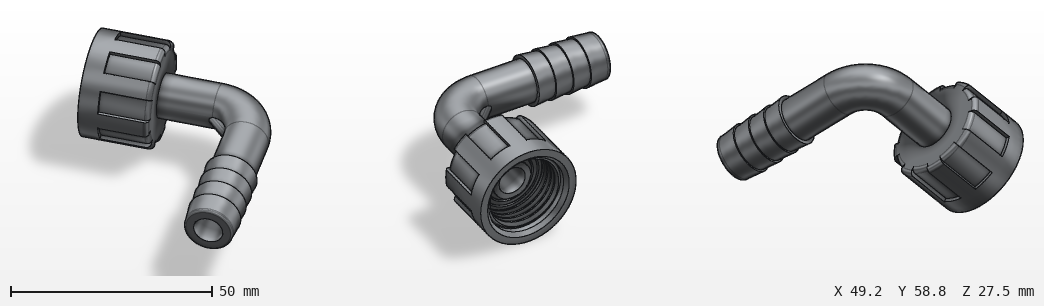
import cadquery as cq
import math

NUT_DIAMETER = 27.5
NUT_LENGTH = 18.1
NUT_REAR_FILLET = 1.2
NUT_REAR_WALL = 2.0

MOUTH_DIAMETER = 23.5
MOUTH_CONE_DEPTH = 1.1
RELIEF_DIAMETER = 21.5
RELIEF_DEPTH = 2.6

THREAD_PITCH = 1.814
THREAD_CREST_DIAMETER = 18.87
THREAD_ROOT_DIAMETER = 20.95
THREAD_CREST_WIDTH = 0.4
THREAD_ROOT_WIDTH = 0.25
THREAD_START = 2.03
THREAD_TURNS = 3.9
THREAD_START_ANGLE = -150.0
CUT_OVERLAP = 0.1

GRIP_COUNT = 8
GRIP_START = 5.1
GRIP_FLOOR_DIAMETER = 25.5
GRIP_ANGLE = 25.0

SEAT_DIAMETER = 18.5
SEAT_DEPTH = 9.3
GASKET_THICKNESS = 2.0
NOSE_PROUD = 1.3
NOSE_DIAMETER = 10.71
GASKET_GROOVE_INNER_DIAMETERS = (12.72, 15.84)
GASKET_GROOVE_WIDTH = 0.51
GASKET_GROOVE_DEPTH = 0.4

TUBE_DIAMETER = 11.5
TUBE_BORE = 7.5
BEND_RADIUS = 10.0
OVERALL_X = 49.24

TAIL_END_Y = -45.0
BARB_START_Y = -24.0
BARB_COUNT = 4
BARB_PITCH = 5.0
BARB_DIAMETER = 13.5
TIP_DIAMETER = 12.5
TIP_FILLET = 0.5

WEB_THICKNESS = 2.2
WEB_EDGE_FILLET = 1.0
WEB_EDGE_OFFSET = 2.4

FLANGE_FACE = SEAT_DEPTH + GASKET_THICKNESS
NOSE_FACE = SEAT_DEPTH - NOSE_PROUD
NUT_FLOOR = NUT_LENGTH - NUT_REAR_WALL
LEG_X = OVERALL_X - BARB_DIAMETER / 2
BEND_START_X = LEG_X - BEND_RADIUS


def cylinder_x(diameter, start, end):
    """Solid cylinder on the X axis between two X positions."""
    return cq.Workplane("YZ", origin=(start, 0, 0)).circle(diameter / 2).extrude(end - start)


def nut_body():
    """Turned nut: conical mouth, relief, threaded bore, gasket seat and rear hole."""
    outside = NUT_DIAMETER / 2
    thread = THREAD_CREST_DIAMETER / 2
    relief = RELIEF_DIAMETER / 2
    seat = SEAT_DIAMETER / 2
    hole = TUBE_DIAMETER / 2
    profile = (
        cq.Workplane("XY")
        .moveTo(0, MOUTH_DIAMETER / 2)
        .lineTo(0, outside)
        .lineTo(NUT_LENGTH - NUT_REAR_FILLET, outside)
        .radiusArc((NUT_LENGTH, outside - NUT_REAR_FILLET), NUT_REAR_FILLET)
        .lineTo(NUT_LENGTH, hole)
        .lineTo(NUT_FLOOR, hole)
        .lineTo(NUT_FLOOR, seat)
        .lineTo(SEAT_DEPTH, seat)
        .lineTo(SEAT_DEPTH, thread)
        .lineTo(RELIEF_DEPTH, thread)
        .lineTo(RELIEF_DEPTH, relief)
        .lineTo(MOUTH_CONE_DEPTH, relief)
        .close()
    )
    return profile.revolve(360, (0, 0, 0), (1, 0, 0))


def grip_pocket(angle):
    """Shallow pocket with a concentric floor, rounded off at the rear and centred on an angle about X."""
    length = NUT_LENGTH - GRIP_START
    floor = GRIP_FLOOR_DIAMETER / 2
    ring = (
        cq.Workplane("XY")
        .moveTo(GRIP_START, floor)
        .lineTo(NUT_LENGTH - NUT_REAR_FILLET, floor)
        .radiusArc((NUT_LENGTH, floor - NUT_REAR_FILLET), NUT_REAR_FILLET)
        .lineTo(NUT_LENGTH, NUT_DIAMETER)
        .lineTo(GRIP_START, NUT_DIAMETER)
        .close()
        .revolve(360, (0, 0, 0), (1, 0, 0))
    )
    reach = NUT_DIAMETER
    half_width = reach * math.tan(math.radians(GRIP_ANGLE / 2))
    sector = (
        cq.Workplane("YZ", origin=(GRIP_START, 0, 0))
        .polyline([(0, 0), (reach, -half_width), (reach, half_width)])
        .close()
        .extrude(length)
    )
    return ring.intersect(sector).rotate((0, 0, 0), (1, 0, 0), angle)


def thread_groove():
    """Helical groove of the internal thread, swept about X and cut off at the gasket seat."""
    crest = THREAD_CREST_DIAMETER / 2 - CUT_OVERLAP
    root = THREAD_ROOT_DIAMETER / 2
    half_mouth = (THREAD_PITCH - THREAD_CREST_WIDTH) / 2
    half_root = THREAD_ROOT_WIDTH / 2
    helix = cq.Wire.makeHelix(THREAD_PITCH, THREAD_PITCH * THREAD_TURNS, crest)
    groove = (
        cq.Workplane("XZ")
        .polyline([(crest, -half_mouth), (root, -half_root), (root, half_root), (crest, half_mouth)])
        .close()
        .sweep(cq.Workplane(obj=helix), isFrenet=True)
    )
    along_x = groove.rotate((0, 0, 0), (0, 1, 0), 90).rotate((0, 0, 0), (1, 0, 0), THREAD_START_ANGLE)
    bore_length = cylinder_x(NUT_DIAMETER, 0, SEAT_DEPTH)
    return along_x.translate((THREAD_START, 0, 0)).intersect(bore_length)


def make_nut():
    """Nut body with its thread and the ring of grip pockets."""
    nut = nut_body().cut(thread_groove())
    spacing = 360 / GRIP_COUNT
    for index in range(GRIP_COUNT):
        nut = nut.cut(grip_pocket((index + 0.5) * spacing))
    return nut


def make_gasket():
    """Flat ring with concentric V grooves in its sealing face."""
    gasket = cylinder_x(SEAT_DIAMETER, SEAT_DEPTH, FLANGE_FACE).cut(
        cylinder_x(NOSE_DIAMETER, SEAT_DEPTH, FLANGE_FACE)
    )
    for inner_diameter in GASKET_GROOVE_INNER_DIAMETERS:
        inner = inner_diameter / 2
        middle = inner + GASKET_GROOVE_WIDTH / 2
        outer = inner + GASKET_GROOVE_WIDTH
        groove = (
            cq.Workplane("XY")
            .moveTo(SEAT_DEPTH, inner)
            .lineTo(SEAT_DEPTH + GASKET_GROOVE_DEPTH, middle)
            .lineTo(SEAT_DEPTH, outer)
            .close()
            .revolve(360, (0, 0, 0), (1, 0, 0))
        )
        gasket = gasket.cut(groove)
    return gasket


def bent_rod(diameter, start_x):
    """Round rod along X from start_x, through the bend and down to the tail end."""
    diagonal = BEND_RADIUS * math.sqrt(0.5)
    path = (
        cq.Workplane("XY")
        .moveTo(start_x, 0)
        .lineTo(BEND_START_X, 0)
        .threePointArc((BEND_START_X + diagonal, diagonal - BEND_RADIUS), (LEG_X, -BEND_RADIUS))
        .lineTo(LEG_X, TAIL_END_Y)
    )
    return cq.Workplane("YZ", origin=(start_x, 0, 0)).circle(diameter / 2).sweep(path)


def hose_tail():
    """Saw-tooth barbs tapering towards the rounded tip."""
    barb = BARB_DIAMETER / 2
    tip = TIP_DIAMETER / 2
    outline = cq.Workplane("XY").moveTo(LEG_X, BARB_START_Y)
    for index in range(BARB_COUNT):
        top = BARB_START_Y - index * BARB_PITCH
        outline = outline.lineTo(LEG_X + barb, top).lineTo(LEG_X + tip, top - BARB_PITCH)
    outline = (
        outline.lineTo(LEG_X + tip, TAIL_END_Y + TIP_FILLET)
        .radiusArc((LEG_X + tip - TIP_FILLET, TAIL_END_Y), TIP_FILLET)
        .lineTo(LEG_X, TAIL_END_Y)
        .close()
    )
    return outline.revolve(360, (LEG_X, 0, 0), (LEG_X, 1, 0))


def bend_web():
    """Web across the inside of the bend with a rounded 45 degree free edge."""
    corner = (LEG_X, 0)
    leg = 2 * BEND_RADIUS - WEB_EDGE_OFFSET * math.sqrt(2)
    web = (
        cq.Workplane("XY", origin=(0, 0, -WEB_THICKNESS / 2))
        .polyline([corner, (LEG_X - leg, 0), (LEG_X, -leg)])
        .close()
        .extrude(WEB_THICKNESS)
    )
    free_face = cq.selectors.DirectionMinMaxSelector(cq.Vector(-1, -1, 0), True)
    long_edges = cq.selectors.ParallelDirSelector(cq.Vector(1, -1, 0))
    return web.faces(free_face).edges(long_edges).fillet(WEB_EDGE_FILLET)


def make_elbow():
    """Tube with flange, nose standing through the gasket, barbed tail and a bore right through."""
    nose = cylinder_x(NOSE_DIAMETER, NOSE_FACE, FLANGE_FACE)
    flange = cylinder_x(SEAT_DIAMETER, FLANGE_FACE, NUT_FLOOR)
    elbow = bent_rod(TUBE_DIAMETER, FLANGE_FACE).union(nose).union(flange)
    elbow = elbow.union(hose_tail()).union(bend_web())
    return elbow.cut(bent_rod(TUBE_BORE, NOSE_FACE))


nut = make_nut()
gasket = make_gasket()
elbow = make_elbow()
result = cq.Compound.makeCompound([nut.val(), gasket.val(), elbow.val()])